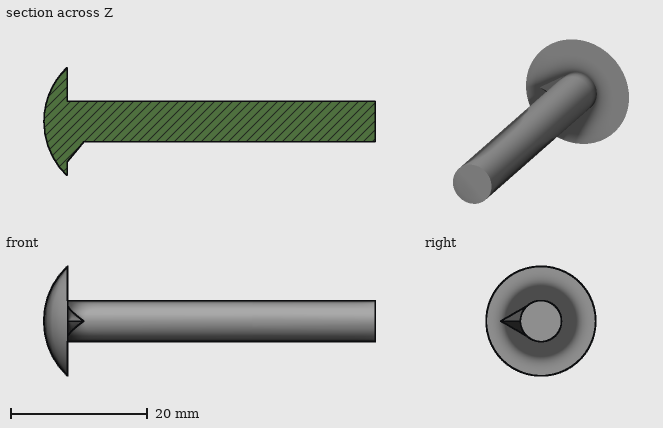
import cadquery as cq
import math

total_length = 48.5
head_diameter = 16.05
head_height = 3.5
shank_diameter = 6.0
end_section_length = 18.0
nib_reach = 5.85
nib_length = 2.38
nib_half_angle = 30.0
nib_root = 1.45

head_radius = head_diameter / 2
shank_radius = shank_diameter / 2
end_section_start = total_length - end_section_length


def domed_head():
    """Spherical cap with its crown at the origin and a flat underside."""
    sphere_radius = (head_radius**2 + head_height**2) / (2 * head_height)
    mid_angle = math.asin(head_radius / sphere_radius) / 2
    arc_middle = (
        sphere_radius * (1 - math.cos(mid_angle)),
        sphere_radius * math.sin(mid_angle),
    )
    return (
        cq.Workplane("XY")
        .moveTo(0, 0)
        .threePointArc(arc_middle, (head_height, head_radius))
        .lineTo(head_height, 0)
        .close()
        .revolve(360, (0, 0, 0), (1, 0, 0))
    )


def shank_section(start, end):
    return cq.Workplane("YZ", origin=(start, 0, 0)).circle(shank_radius).extrude(end - start)


def nib():
    """Four-faced anti-rotation nib under the head, on the -Y side."""
    root_depth = nib_reach - nib_root
    half_width = root_depth * math.tan(math.radians(nib_half_angle))
    ridge_run = root_depth * nib_length / (nib_reach - shank_radius)
    corner = cq.Vector(head_height, -nib_reach, 0)
    upper = cq.Vector(head_height, -nib_root, half_width)
    lower = cq.Vector(head_height, -nib_root, -half_width)
    tip = cq.Vector(head_height + ridge_run, -nib_root, 0)
    triangles = [
        (corner, upper, lower),
        (corner, tip, upper),
        (corner, lower, tip),
        (upper, tip, lower),
    ]
    faces = [cq.Face.makeFromWires(cq.Wire.makePolygon(points, close=True)) for points in triangles]
    return cq.Workplane(cq.Solid.makeSolid(cq.Shell.makeShell(faces)))


result = (
    domed_head()
    .union(shank_section(head_height, end_section_start))
    .union(nib())
    .union(shank_section(end_section_start, total_length), clean=False)
)